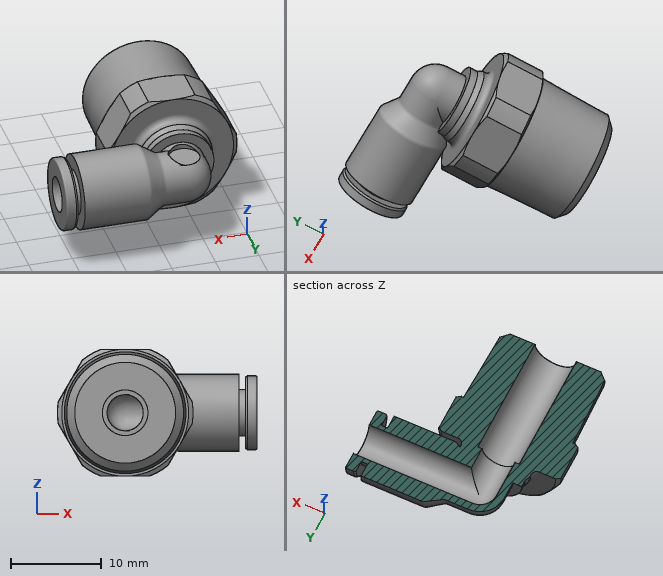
import cadquery as cq
import math


elbow_radius = 2.95
bore_radius = 2.0
badge_radius = 1.76
badge_height = 2.4

shoulder_start = 2.94
shoulder_end = 4.94
socket_end = 12.57
socket_radius = 4.25
shoulder_blend = 0.5

neck_radius = 2.58
ring_radius = 4.1
neck_length = 0.7
ring_start = socket_end + neck_length
ring_end = 14.57
ring_back_bevel_length = 0.24
ring_back_bevel_height = 0.16
ring_front_round = 0.19

overall_length = 23.5
stem_end = overall_length - socket_radius
collar_top = 2.2
collar_cone_top = 3.08
collar_cone_end = 3.75
collar_radius = 4.05
collar_base_radius = 4.32
collar_flare = 0.65
stem_bore_radius = 2.51

hex_top = 4.72
hex_bottom = 9.73
hex_across_flats = 14.0
hex_corner_radius = 7.5
hex_face_radius = hex_across_flats / 2
hex_bevel_depth = 0.3

thread_start_radius = 6.72
thread_radius_taper = 1 / 32
thread_bevel_length = 0.87
thread_end_radius = 5.57


def cylinder_along_x(radius, start, end):
    return cq.Workplane("YZ").workplane(offset=start).circle(radius).extrude(end - start)


def cylinder_along_stem(radius, start, end):
    """Cylinder on the stem axis between two depths below the elbow centre."""
    return cq.Workplane("XZ").workplane(offset=start).circle(radius).extrude(end - start)


def revolve_on_stem(outline):
    return outline.close().revolve(360, (0, 0, 0), (0, 1, 0))


def revolve_on_socket(outline):
    return outline.close().revolve(360, (0, 0, 0), (1, 0, 0))


def make_elbow():
    """Ball at the elbow centre and the round arm that reaches the collar."""
    arm_to_stem = cylinder_along_stem(elbow_radius, 0, collar_top)
    return cq.Workplane("XY").sphere(elbow_radius).union(arm_to_stem)


def make_socket():
    """Round arm from the elbow, conical shoulder with blended edges, and sleeve."""
    edge_search_margin = 0.02
    sleeve = revolve_on_socket(
        cq.Workplane("XY")
        .moveTo(0, 0)
        .lineTo(0, elbow_radius)
        .lineTo(shoulder_start, elbow_radius)
        .lineTo(shoulder_end, socket_radius)
        .lineTo(socket_end, socket_radius)
        .lineTo(socket_end, 0)
    )
    shoulder_edges = sleeve.edges("%CIRCLE").filter(
        lambda edge: shoulder_start - edge_search_margin
        < edge.Center().x
        < shoulder_end + edge_search_margin
    )
    return shoulder_edges.fillet(shoulder_blend)


def make_release_ring():
    """Narrow neck carrying a flange, bevelled behind and rounded in front."""
    neck = cylinder_along_x(neck_radius, socket_end, ring_start)
    flange = revolve_on_socket(
        cq.Workplane("XY")
        .moveTo(ring_start, 0)
        .lineTo(ring_start, ring_radius - ring_back_bevel_height)
        .lineTo(ring_start + ring_back_bevel_length, ring_radius)
        .lineTo(ring_end, ring_radius)
        .lineTo(ring_end, 0)
    )
    return neck.union(flange.faces(">X").edges().fillet(ring_front_round))


def make_collar():
    """Stepped collar that flares out onto the top of the hexagon."""
    flare_top = hex_top - collar_flare
    flare_centre_radius = collar_base_radius + collar_flare
    diagonal = collar_flare * math.sqrt(0.5)
    return revolve_on_stem(
        cq.Workplane("XY")
        .moveTo(0, -collar_top)
        .lineTo(collar_radius, -collar_top)
        .lineTo(collar_radius, -collar_cone_top)
        .lineTo(collar_base_radius, -collar_cone_end)
        .lineTo(collar_base_radius, -flare_top)
        .threePointArc(
            (flare_centre_radius - diagonal, -flare_top - diagonal),
            (flare_centre_radius, -hex_top),
        )
        .lineTo(0, -hex_top)
    )


def make_hexagon():
    """Hexagon with corners turned round and both ends bevelled."""
    corner_to_corner = hex_across_flats / math.cos(math.pi / 6)
    prism = (
        cq.Workplane("XZ")
        .workplane(offset=hex_top)
        .polygon(6, corner_to_corner)
        .extrude(hex_bottom - hex_top)
    )
    turned_blank = revolve_on_stem(
        cq.Workplane("XY")
        .moveTo(0, -hex_top)
        .lineTo(hex_face_radius, -hex_top)
        .lineTo(hex_corner_radius, -hex_top - hex_bevel_depth)
        .lineTo(hex_corner_radius, -hex_bottom + hex_bevel_depth)
        .lineTo(hex_face_radius, -hex_bottom)
        .lineTo(0, -hex_bottom)
    )
    return prism.intersect(turned_blank)


def make_thread():
    """Tapered thread envelope with a bevelled tip."""
    bevel_start = stem_end - thread_bevel_length
    bevel_start_radius = thread_start_radius - (bevel_start - hex_bottom) * thread_radius_taper
    return revolve_on_stem(
        cq.Workplane("XY")
        .moveTo(0, -hex_bottom)
        .lineTo(thread_start_radius, -hex_bottom)
        .lineTo(bevel_start_radius, -bevel_start)
        .lineTo(thread_end_radius, -stem_end)
        .lineTo(0, -stem_end)
    )


def make_bore():
    """Passage from the socket mouth round the elbow, widening in the stem."""
    socket_bore = cylinder_along_x(bore_radius, 0, ring_end)
    elbow_bore = cylinder_along_stem(bore_radius, 0, hex_top)
    stem_bore = cylinder_along_stem(stem_bore_radius, hex_top, stem_end)
    corner = cq.Workplane("XY").sphere(bore_radius)
    return corner.union(socket_bore).union(elbow_bore).union(stem_bore)


def make_badge_recess():
    """Round flat cut into the top of the elbow."""
    return (
        cq.Workplane("XY")
        .workplane(offset=badge_height)
        .circle(badge_radius)
        .extrude(elbow_radius - badge_height)
    )


result = (
    make_elbow()
    .union(make_socket())
    .cut(make_badge_recess())
    .union(make_release_ring())
    .union(make_collar())
    .union(make_hexagon())
    .union(make_thread())
    .cut(make_bore())
)